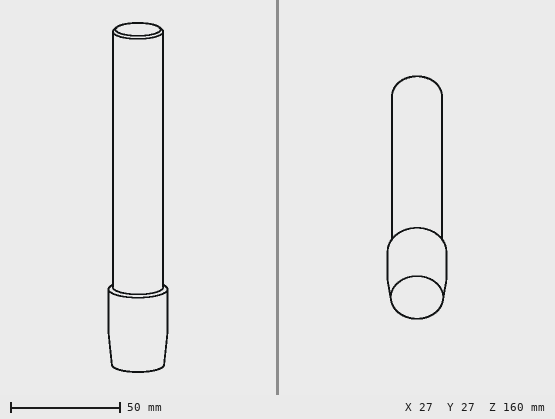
import cadquery as cq

total_height = 160.0
shaft_radius = 11.5
shaft_chamfer = 1.1
collar_radius = 13.52
foot_radius = 12.0
foot_height = 15.0
collar_edge_z = 36.0
shoulder_height = 1.0

shaft_base_z = collar_edge_z + shoulder_height


def make_collar():
    """Revolved base: tapered foot, cylindrical collar and conical shoulder."""
    return (
        cq.Workplane("XZ")
        .moveTo(0, 0)
        .lineTo(foot_radius, 0)
        .lineTo(collar_radius, foot_height)
        .lineTo(collar_radius, collar_edge_z)
        .lineTo(shaft_radius, shaft_base_z)
        .lineTo(0, shaft_base_z)
        .close()
        .revolve(360, (0, 0, 0), (0, 1, 0))
    )


def make_shaft():
    """Round shaft standing on the collar, chamfered at its free end."""
    return (
        cq.Workplane("XY")
        .workplane(offset=shaft_base_z)
        .circle(shaft_radius)
        .extrude(total_height - shaft_base_z)
        .faces(">Z")
        .chamfer(shaft_chamfer)
    )


collar = make_collar()
shaft = make_shaft()

result = cq.Compound.makeCompound([collar.val(), shaft.val()])